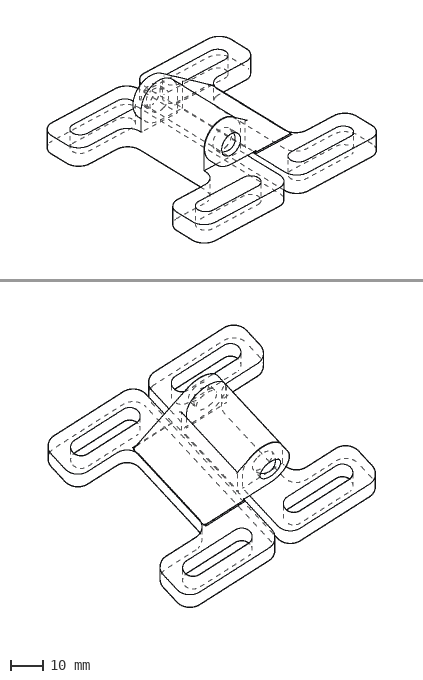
import cadquery as cq
import math

length = 76.25
width = 74.0
plate_gap = 2.3
plate_thickness = 7.0
arm_width = 17.0
corner_radius = 5.0
web_edge_y = 16.6
slot_width = 6.5
slot_length = 25.5
slot_center_y = 19.7

pin_radius = 4.0
barrel_radius = (web_edge_y - plate_gap / 2) / 2
overall_height = 23.0
axis_z = overall_height - barrel_radius
axis_y = barrel_radius - web_edge_y
barrel_half_width = 14.25

cover_half_width = barrel_half_width + pin_radius
cheek_radius = barrel_radius
cover_tip_y = 16.85
pocket_rear_y = 0.85
cover_fillet = 0.5
pocket_fillet = 0.4
flare_size = 0.3
selection_margin = 0.1

inner_y = plate_gap / 2
outer_y = length / 2
arm_center_x = (width - arm_width) / 2
cheek_bottom_z = axis_z - cheek_radius


def box_between(x0, x1, y0, y1, z0, z1):
    """Box given by its limits along each axis."""
    return cq.Workplane("XY").box(x1 - x0, y1 - y0, z1 - z0, centered=False).translate((x0, y0, z0))


def across(half_width):
    """YZ workplane from which a profile is extruded across +/- half_width in X."""
    return cq.Workplane("YZ", origin=(-half_width, 0, 0))


def slotted_plate():
    """U-shaped plate on the +Y side, rounded at every vertical edge, with a slot in each arm."""
    inner_arm_x = width / 2 - arm_width
    blank = box_between(-width / 2, width / 2, inner_y, outer_y, 0, plate_thickness)
    notch = box_between(-inner_arm_x, inner_arm_x, web_edge_y, outer_y, 0, plate_thickness)
    plate = blank.cut(notch).edges("|Z").fillet(corner_radius)
    slots = (
        cq.Workplane("XY")
        .pushPoints([(-arm_center_x, slot_center_y), (arm_center_x, slot_center_y)])
        .slot2D(slot_length, slot_width, 90)
        .extrude(plate_thickness)
    )
    return plate.cut(slots)


def make_barrel_leaf():
    """Front plate with the upright barrel block and a hemispherical pivot on each end of the barrel."""
    plate = slotted_plate().mirror("XZ")
    block = box_between(
        -barrel_half_width, barrel_half_width, -web_edge_y, -inner_y, 0, axis_z
    )
    barrel = across(barrel_half_width).center(axis_y, axis_z).circle(barrel_radius)
    leaf = plate.union(block).union(barrel.extrude(2 * barrel_half_width))
    for side in (-1, 1):
        pivot = cq.Workplane("XY").sphere(pin_radius)
        leaf = leaf.union(pivot.translate((side * barrel_half_width, axis_y, axis_z)))
    return leaf


def cover_blank():
    """Wedge that rises from the plate to a rounded nose around the pin axis, with rounded sides."""
    tip_dy = cover_tip_y - axis_y
    tip_dz = plate_thickness - axis_z
    tangent_angle = math.atan2(tip_dz, tip_dy) + math.acos(cheek_radius / math.hypot(tip_dy, tip_dz))

    def on_nose(angle):
        return (axis_y + cheek_radius * math.cos(angle), axis_z + cheek_radius * math.sin(angle))

    profile = (
        across(cover_half_width)
        .moveTo(cover_tip_y, plate_thickness)
        .lineTo(*on_nose(tangent_angle))
        .threePointArc(on_nose(math.pi), on_nose(-math.pi / 2))
        .lineTo(inner_y, cheek_bottom_z)
        .lineTo(inner_y, plate_thickness)
        .close()
    )
    return profile.extrude(2 * cover_half_width).faces("<X or >X").edges().fillet(cover_fillet)


def cut_pocket(cover):
    """Cut the barrel pocket through the nose and round the rims of the cheeks and of the rear wall."""
    pocket = box_between(
        -barrel_half_width, barrel_half_width, -outer_y, pocket_rear_y, 0, overall_height
    )
    cover = cover.cut(pocket)
    rim_region = cq.selectors.BoxSelector(
        (-barrel_half_width - selection_margin, -outer_y, 0),
        (barrel_half_width + selection_margin, pocket_rear_y + selection_margin, overall_height),
    )
    above_axis = cq.selectors.BoxSelector(
        (-cover_half_width, -outer_y, axis_z), (cover_half_width, outer_y, overall_height)
    )
    cheek_rims = cover.edges(rim_region).edges("not(|Z)").edges("not(|X)")
    rear_rim = cover.edges(rim_region).edges("|X").edges(above_axis)
    return cheek_rims.add(rear_rim).fillet(pocket_fillet)


def foot_flare():
    """Low skirt with 45 degree sides where the cover meets its plate."""
    return (
        cq.Workplane("XY", origin=(0, (inner_y + web_edge_y) / 2, plate_thickness))
        .rect(2 * (cover_half_width + flare_size), web_edge_y - inner_y)
        .extrude(flare_size, taper=45)
    )


def make_cover_leaf():
    """Rear plate with the wedge cover, whose two cheeks straddle the barrel and hold its pivots."""
    bores = (
        across(cover_half_width).center(axis_y, axis_z).circle(pin_radius).extrude(2 * cover_half_width)
    )
    cover = cut_pocket(cover_blank()).cut(bores)
    return slotted_plate().union(cover).union(foot_flare())


barrel_leaf = make_barrel_leaf()
cover_leaf = make_cover_leaf()

result = cq.Compound.makeCompound([barrel_leaf.val(), cover_leaf.val()])